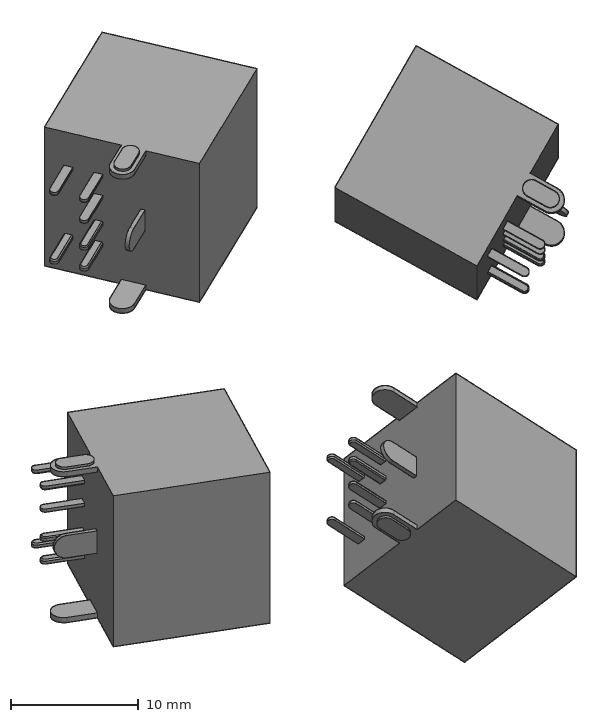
import cadquery as cq

housing_width = 13.0
housing_depth = 12.8
total_length = 16.3
leg_length = total_length - housing_depth
total_height = 14.35
housing_height = 13.9
pad_height = (total_height - housing_height) / 2

leg_x = 7.48
leg_width = 2.05
leg_thickness = 0.47
pad_width = 1.4
pad_length = 3.1

tab_x = 8.1
tab_thickness = 0.35

pin_width = 0.75
pin_pitch = 2.51
rear_pin_x = 2.02
front_pin_x = rear_pin_x + pin_pitch
outer_pin_z = 3.59
outer_pin_thickness = 0.39
outer_pin_chamfer_width = 0.1
outer_pin_chamfer_height = 0.13
inner_pin_z = 1.48
inner_pin_thickness = 0.36
inner_pin_chamfer_width = 0.1
inner_pin_chamfer_height = 0.08


def tongue(x, width, length, z, thickness):
    """Flat strip from the housing face along -Y with a semicircular end, spanning z to z + thickness."""
    radius = width / 2
    return (
        cq.Workplane("XY", origin=(x, 0, z))
        .moveTo(-radius, 0)
        .lineTo(-radius, radius - length)
        .threePointArc((0, -length), (radius, radius - length))
        .lineTo(radius, 0)
        .close()
        .extrude(thickness)
    )


def housing():
    """Plain rectangular block with its -Y face on Y = 0."""
    return cq.Workplane("XY").box(housing_width, housing_depth, housing_height, centered=(False, False, True))


def mounting_leg():
    """Upper mounting leg, flush with the housing top, with its raised pad."""
    housing_top = housing_height / 2
    leg = tongue(leg_x, leg_width, leg_length, housing_top - leg_thickness, leg_thickness)
    pad = (
        cq.Workplane("XY", origin=(leg_x, -pad_length / 2, housing_top))
        .slot2D(pad_length, pad_width, 90)
        .extrude(pad_height)
    )
    return leg.union(pad)


def center_tab():
    """Round-ended tab standing in the YZ plane."""
    flat = tongue(0, leg_width, leg_length, 0, tab_thickness)
    return flat.rotate((0, 0, 0), (0, 1, 0), 90).translate((tab_x, 0, 0))


def contact_pin(x, outer_z, thickness, chamfer_width, chamfer_height):
    """Upper contact pin whose edge facing the mid-height plane is chamfered along the sides and tip."""
    pin = tongue(x, pin_width, leg_length, outer_z - thickness, thickness)
    edges = pin.faces("<Z").edges("not >Y")
    return edges.chamfer(chamfer_height, chamfer_width)


upper_parts = [mounting_leg()]
for pin_x in (rear_pin_x, front_pin_x):
    upper_parts.append(
        contact_pin(pin_x, outer_pin_z, outer_pin_thickness, outer_pin_chamfer_width, outer_pin_chamfer_height)
    )
upper_parts.append(
    contact_pin(front_pin_x, inner_pin_z, inner_pin_thickness, inner_pin_chamfer_width, inner_pin_chamfer_height)
)

result = housing().union(center_tab())
for part in upper_parts:
    result = result.union(part).union(part.mirror("XY"))